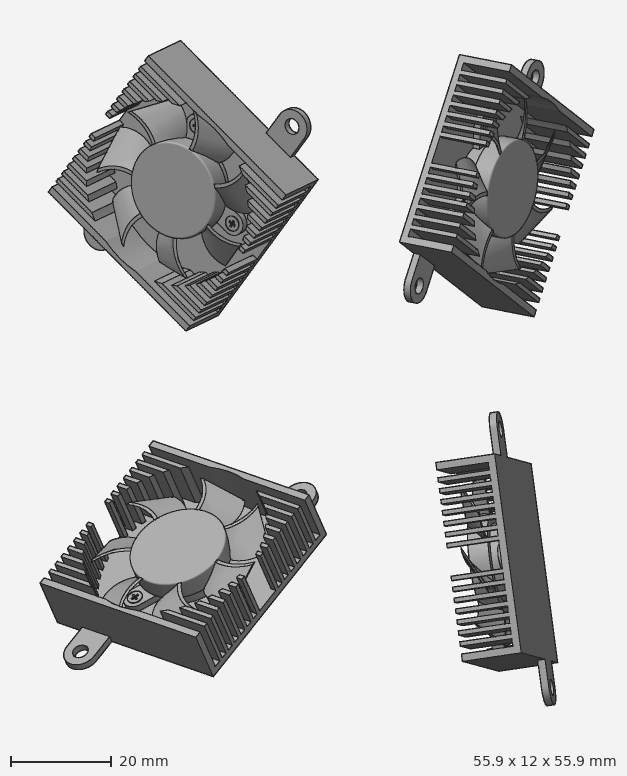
import cadquery as cq
import math


overall_size = 55.9
tilt_angle = 36.0
tilt = math.radians(tilt_angle)
side = overall_size / (math.cos(tilt) + math.sin(tilt))
sink_height = 12.0
plate_thickness = 1.5
wall_thickness = plate_thickness
fin_thickness = 0.9
fin_span = 33.0
fin_positions = 16
open_positions = (7, 8)
fan_bore_radius = 19.0

tab_offset = 9.55
tab_reach = 25.5
tab_radius = 3.5
tab_hole_radius = 1.6

arm_count = 3
arm_reach = 11.95
arm_radius = 2.45
arm_thickness = plate_thickness
column_radius = 7.8
screw_head_radius = 1.55
screw_head_height = 0.15
cross_length = 1.55
cross_floor_length = 0.45
cross_width = 0.35
cross_depth = 0.65
cross_turn = -6.0

hub_back = 5.6
hub_front = 9.8
hub_radius = 10.0
hub_fillet = 0.4

blade_count = 7
blade_back = hub_back
blade_front = 9.6
back_width = 1.1
front_width = 0.8
back_edge = [(-3.45, -7.8), (-6.6, -13.75), (-5.85, -17.0)]
front_edge = [(0.2, -8.4), (0.4, -14.1), (2.6, -17.7)]


def at_height(height):
    """Sketch plane at a height above the back face, facing -Y."""
    return cq.Workplane("XZ", origin=(0, -height, 0))


def turned(body, angle):
    """The body rotated about the fan axis."""
    return body.rotate((0, 0, 0), (0, 1, 0), angle)


def make_tab():
    """Flat tab with a round end and a hole, reaching out from the plate."""
    root = side / 2 - wall_thickness
    length = tab_reach - root
    strip = at_height(0).center(tab_offset, root + length / 2).rect(2 * tab_radius, length)
    tab = strip.extrude(plate_thickness)
    round_end = at_height(0).center(tab_offset, tab_reach).circle(tab_radius).extrude(plate_thickness)
    hole = at_height(0).center(tab_offset, tab_reach).circle(tab_hole_radius).extrude(plate_thickness)
    return tab.union(round_end).cut(hole)


def make_heat_sink():
    """Plate, two side walls and parallel fins, with the fan bore cut out of the fins."""
    sink = at_height(0).rect(side, side).extrude(plate_thickness)

    wall_place = (side - wall_thickness) / 2
    walls = at_height(0).pushPoints([(0, -wall_place), (0, wall_place)])
    sink = sink.union(walls.rect(side, wall_thickness).extrude(sink_height))

    fin_pitch = fin_span / (fin_positions - 1)
    fin_places = [
        (0, place * fin_pitch - fin_span / 2)
        for place in range(fin_positions)
        if place not in open_positions
    ]
    fins = at_height(0).pushPoints(fin_places).rect(side, fin_thickness).extrude(sink_height)
    sink = sink.union(fins)

    bore = at_height(plate_thickness).circle(fan_bore_radius).extrude(sink_height)
    sink = sink.cut(bore)

    tab = make_tab()
    return turned(sink.union(tab).union(turned(tab, 180)), tilt_angle)


def make_cross():
    """Cross recess on the fan axis, to be cut down from the top of a screw head."""
    top = plate_thickness + arm_thickness + screw_head_height
    floor = top - cross_depth
    profile = [
        (-cross_length / 2, -top),
        (cross_length / 2, -top),
        (cross_floor_length / 2, -floor),
        (-cross_floor_length / 2, -floor),
    ]
    slot = cq.Workplane("XY").polyline(profile).close().extrude(cross_width / 2, both=True)
    return slot.union(turned(slot, 90))


def make_arm():
    """Arm along +X with a round end, carrying a cross-recess screw head."""
    strip = at_height(plate_thickness).center(arm_reach / 2, 0).rect(arm_reach, 2 * arm_radius)
    arm = strip.extrude(arm_thickness)
    round_end = at_height(plate_thickness).center(arm_reach, 0).circle(arm_radius)
    arm = arm.union(round_end.extrude(arm_thickness))

    head = at_height(plate_thickness + arm_thickness).center(arm_reach, 0).circle(screw_head_radius)
    arm = arm.union(head.extrude(screw_head_height))
    cross = turned(make_cross(), cross_turn)
    return arm.cut(cross.translate((arm_reach, 0, 0)))


def make_motor_mount():
    """Central column under the hub, held by the arms on the plate."""
    mount = at_height(plate_thickness).circle(column_radius).extrude(hub_back - plate_thickness)
    arm = make_arm()
    for index in range(arm_count):
        mount = mount.union(turned(arm, index * 360 / arm_count))
    return turned(mount, tilt_angle)


def make_hub():
    """Disc with a rounded front rim."""
    hub = at_height(hub_back).circle(hub_radius).extrude(hub_front - hub_back)
    return hub.faces("<Y").edges().fillet(hub_fillet)


def blade_strip(edge, width, height):
    """Closed strip between an edge arc and the same arc moved along x."""
    root, middle, tip = [cq.Vector(x, -height, z) for x, z in edge]
    shift = cq.Vector(width, 0, 0)
    return cq.Wire.assembleEdges([
        cq.Edge.makeThreePointArc(root, middle, tip),
        cq.Edge.makeLine(tip, tip + shift),
        cq.Edge.makeThreePointArc(tip + shift, middle + shift, root + shift),
        cq.Edge.makeLine(root + shift, root),
    ])


def make_blades(hub):
    """Ring of separate blades, each ending on the surface of the hub."""
    back_strip = blade_strip(back_edge, back_width, blade_back)
    front_strip = blade_strip(front_edge, front_width, blade_front)
    blank = cq.Workplane(cq.Solid.makeLoft([back_strip, front_strip], True))
    blade = blank.cut(hub)
    return [turned(blade, index * 360 / blade_count) for index in range(blade_count)]


heat_sink = make_heat_sink()
motor_mount = make_motor_mount()
hub = make_hub()
blades = make_blades(hub)

result = cq.Compound.makeCompound([
    heat_sink.val(),
    motor_mount.val(),
    hub.val(),
    *[blade.val() for blade in blades],
])